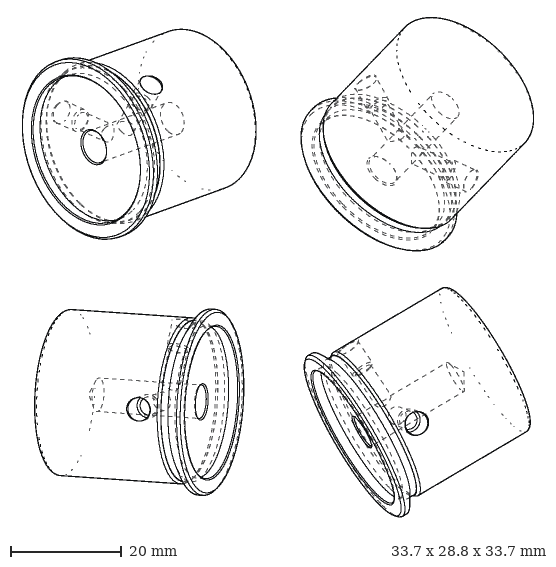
import cadquery as cq
import math

length = 28.8
flange_radius = 16.85
flange_front_chamfer = 0.5
flange_back_y = 1.55
flange_back_blend = 0.35

groove_radius = 14.55
groove_front_y = 3.03
groove_back_y = 4.38

facet_count = 60
grip_flat_radius = 15.03
grip_front_chamfer_length = 0.57
grip_front_chamfer_width = 0.4
grip_back_blend = 0.8

recess_radius = 13.8
recess_depth = 2.0
recess_chamfer = 0.25

bore_radius = 3.03
bore_chamfer = 0.27
bore_depth = 20.0

screw_y = 8.53
screw_angles = (57.0, 177.0)
screw_radius = 1.65
screw_entry_radius = 2.12
screw_entry_floor = 10.1
screw_chamfer = 0.17

drill_point_angle = 118

facet_angle = 360 / facet_count
grip_corner_radius = grip_flat_radius / math.cos(math.radians(facet_angle / 2))


def revolve_about_y(points):
    """Turn a closed (radius, y) outline about the Y axis."""
    return cq.Workplane("XY").polyline(points).close().revolve(360, (0, 0, 0), (0, 1, 0))


def drill_point_length(large_radius, small_radius=0.0):
    """Length of the cone a drill leaves between two radii."""
    return (large_radius - small_radius) / math.tan(math.radians(drill_point_angle / 2))


def make_flange():
    flange = revolve_about_y([
        (0, 0),
        (flange_radius - flange_front_chamfer, 0),
        (flange_radius, flange_front_chamfer),
        (flange_radius, flange_back_y),
        (groove_radius, groove_front_y),
        (groove_radius, groove_back_y),
        (0, groove_back_y),
    ])
    back_edge = cq.selectors.NearestToPointSelector((0, flange_back_y, 0))
    return flange.edges(back_edge).fillet(flange_back_blend)


def make_grip():
    blank = (
        revolve_about_y([
            (0, groove_back_y),
            (grip_corner_radius - grip_front_chamfer_width, groove_back_y),
            (grip_corner_radius, groove_back_y + grip_front_chamfer_length),
            (grip_corner_radius, length),
            (0, length),
        ])
        .faces(">Y").edges().fillet(grip_back_blend)
    )
    facets = (
        cq.Workplane("XZ", origin=(0, groove_back_y, 0))
        .polygon(facet_count, 2 * grip_corner_radius)
        .extrude(groove_back_y - length)
        .rotate((0, 0, 0), (0, 1, 0), facet_angle / 2)
    )
    return blank.intersect(facets)


def make_bore():
    """Front recess, shaft bore and the chamfers at both mouths."""
    bore_end = recess_depth + bore_depth
    return revolve_about_y([
        (0, 0),
        (recess_radius + recess_chamfer, 0),
        (recess_radius, recess_chamfer),
        (recess_radius, recess_depth),
        (bore_radius + bore_chamfer, recess_depth),
        (bore_radius, recess_depth + bore_chamfer),
        (bore_radius, bore_end),
        (0, bore_end + drill_point_length(bore_radius)),
    ])


def make_screw_hole(angle):
    """Stepped radial hole; the angle runs from +X towards +Z."""
    step_bottom = screw_entry_floor - drill_point_length(screw_entry_radius, screw_radius)
    mouth_radius = screw_entry_radius + screw_chamfer
    hole = (
        cq.Workplane("XY")
        .polyline([
            (0, 0),
            (0, screw_radius),
            (step_bottom, screw_radius),
            (screw_entry_floor, screw_entry_radius),
            (grip_flat_radius - screw_chamfer, screw_entry_radius),
            (grip_flat_radius, mouth_radius),
            (flange_radius, mouth_radius),
            (flange_radius, 0),
        ])
        .close()
        .revolve(360, (0, 0, 0), (1, 0, 0))
    )
    return hole.translate((0, screw_y, 0)).rotate((0, 0, 0), (0, 1, 0), -angle)


result = make_flange().union(make_grip()).cut(make_bore())
for screw_angle in screw_angles:
    result = result.cut(make_screw_hole(screw_angle))